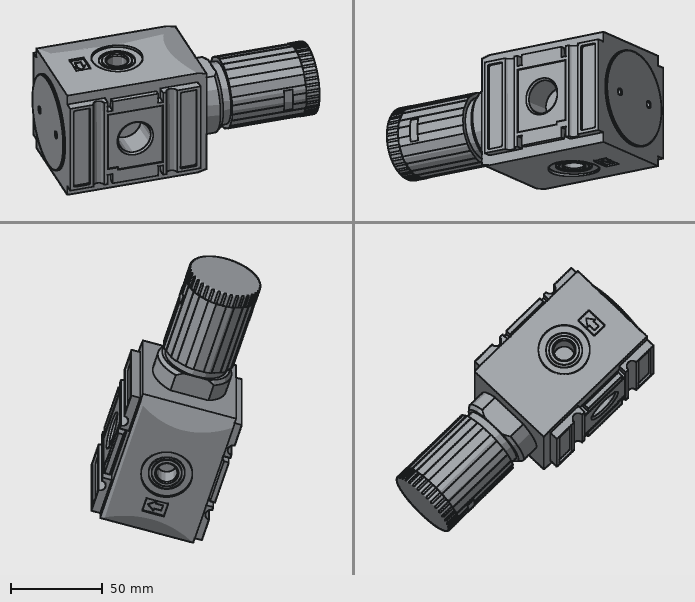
import cadquery as cq
import math


body_width = 53.1
body_height = 63
body_length = 75
crown_height = 2.1
slope_run = 8.5
rear_plate_length = 5.1
front_y = -body_length / 2
seam_y = body_length / 2
rear_y = seam_y + rear_plate_length
half_width = body_width / 2
half_height = body_height / 2
crest = half_height + crown_height
slope = crown_height / slope_run

overall_width = 63
flange_height = 51.9
groove_radius = 3
groove_y = 21
notch_outer_y = 15.9
notch_inner_y = 13.0
notch_height = 5.8
rail_thickness_tip = 2.8
rail_thickness_root = 4.4
label_height = 48.3
label_inner_y = 26.0
label_outer_y = 35.4
label_depth = 1.5
label_corner = 1.0

port_diameter = 18.6
port_mouth_diameter = 20.7
port_mouth_depth = 1.2
port_depth = 18
seat_half_width = 15.9
seat_half_height = 18
seat_depth = 0.3
seat_taper = 45
key_width = 5.7
key_height = 1.5

spotface_diameter = 28.0
spotface_depth = 1.6
seal_outer_diameter = 19.8
seal_inner_diameter = 16.5
seal_depth = 0.9
gauge_diameter = 11.4
gauge_mouth_diameter = 12.9
gauge_depth = 12

panel_width = 12.3
panel_length = 8.2
panel_y = -21.3
panel_depth = 1.2
arrow_tail_x = -3.9
arrow_neck_x = 0.2
arrow_tip_x = 4.2
arrow_shaft_half = 1.6
arrow_head_half = 3.0
arrow_depth = 0.5

cap_neck_diameter = 43.8
cap_neck_length = 1.2
cap_disc_diameter = 53.5
cap_disc_thickness = 1.2
cap_edge_chamfer = 0.5
spanner_hole_diameter = 3.2
spanner_hole_offset = 14.0
spanner_hole_depth = 2.2
spanner_hole_chamfer = 0.5
cap_inner_y = front_y - cap_neck_length
cap_outer_y = cap_inner_y - cap_disc_thickness

bonnet_diameter = 42
bonnet_length = 12.2
bonnet_chamfer_length = 2.2
bonnet_chamfer_depth = 1.8
wrench_size = 36
neck_diameter = 35.0
neck_length = 5.0
bonnet_end_y = rear_y + bonnet_length
knob_start_y = bonnet_end_y + neck_length

overall_length = 150
knob_low_radius = 19.8
knob_high_radius = 20.1
knob_rim_radius = 20.2
rim_length = 7.8
rim_fillet = 0.9
rib_count = 12
rib_angle = 13.4
scallop_count = 36
scallop_radius = 0.8
tab_start_y = 89.5
tab_length = 5.0
tab_height = 12.5
knob_end_y = cap_outer_y + overall_length
rim_start_y = knob_end_y - rim_length
scallop_center_radius = knob_low_radius + scallop_radius


def cylinder(diameter, start, length, direction):
    """Round bar that runs from a point along a direction."""
    return cq.Workplane(cq.Solid.makeCylinder(diameter / 2, length, cq.Vector(*start), cq.Vector(*direction)))


def cone(start_diameter, end_diameter, start, length, direction):
    """Tapered round bar that runs from a point along a direction."""
    solid = cq.Solid.makeCone(
        start_diameter / 2, end_diameter / 2, length, cq.Vector(*start), cq.Vector(*direction)
    )
    return cq.Workplane(solid)


def box(x_range, y_range, z_range):
    """Rectangular block between pairs of coordinates."""
    size = [high - low for low, high in (x_range, y_range, z_range)]
    corner = (x_range[0], y_range[0], z_range[0])
    return cq.Workplane("XY").box(*size, centered=False).translate(corner)


def both_sides(shape, plane):
    """A shape together with its mirror image."""
    return [shape, shape.mirror(plane)]


def crowned_bar(start_y, end_y):
    """Bar along Y with arched top and bottom faces."""
    return (
        cq.Workplane("XZ", origin=(0, start_y, 0))
        .moveTo(-half_width, -half_height)
        .threePointArc((0, -crest), (half_width, -half_height))
        .lineTo(half_width, half_height)
        .threePointArc((0, crest), (-half_width, half_height))
        .close()
        .extrude(start_y - end_y)
    )


def slope_envelope():
    """Side outline whose sloped ends trim the crowned block."""
    rear_half_height = half_height - slope * rear_plate_length
    upper = [
        (front_y, half_height),
        (front_y + slope_run, crest),
        (seam_y - slope_run, crest),
        (rear_y, rear_half_height),
    ]
    lower = [(y, -z) for y, z in reversed(upper)]
    return cq.Workplane("YZ").polyline(upper + lower).close().extrude(half_width, both=True)


def clamp_slots():
    """Cutters for the end notches and the bevelled slots behind the clamp rail of the -X flange."""
    outer_x = -overall_width / 2
    top = flange_height / 2
    floor = top - notch_height
    slot = (
        cq.Workplane("XZ", origin=(0, -notch_inner_y, 0))
        .polyline([
            (outer_x + rail_thickness_tip, top),
            (outer_x + rail_thickness_root, floor),
            (-half_width, floor),
            (-half_width, top),
        ])
        .close()
        .extrude(-2 * notch_inner_y)
    )
    notch = box((outer_x, -half_width), (notch_inner_y, notch_outer_y), (floor, top))
    upper = slot.union(notch).union(notch.mirror("XZ"))
    return both_sides(upper, "XY")


def label_pocket():
    """Cutter for the rounded label recess on the +Y half of the -X flange."""
    return (
        cq.Workplane("YZ", origin=(-overall_width / 2, 0, 0))
        .center((label_inner_y + label_outer_y) / 2, 0)
        .rect(label_outer_y - label_inner_y, label_height)
        .extrude(label_depth)
        .edges("|X")
        .fillet(label_corner)
    )


def flange():
    """Side flange on -X with clamp grooves, notches and label recesses."""
    outer_x = -overall_width / 2
    top = flange_height / 2
    plate = box((outer_x, -half_width), (front_y, seam_y), (-top, top))
    groove = cylinder(2 * groove_radius, (outer_x, groove_y, -top), flange_height, (0, 0, 1))
    cutters = both_sides(groove, "XZ") + both_sides(label_pocket(), "XZ") + clamp_slots()
    for cutter in cutters:
        plate = plate.cut(cutter)
    return plate


def side_port():
    """Cutters for the -X port: keyed seat, mouth chamfer and bore."""
    face = (-overall_width / 2, 0, 0)
    inward = (1, 0, 0)
    seat = (
        cq.Workplane("YZ", origin=face)
        .polyline([
            (seat_half_width, seat_half_height),
            (seat_half_width, -seat_half_height),
            (key_width - seat_half_width, -seat_half_height),
            (key_width - seat_half_width, key_height - seat_half_height),
            (-seat_half_width, key_height - seat_half_height),
            (-seat_half_width, seat_half_height),
        ])
        .close()
        .extrude(seat_depth, taper=seat_taper)
    )
    seat_floor = (face[0] + seat_depth, 0, 0)
    mouth = cone(port_mouth_diameter, port_diameter, seat_floor, port_mouth_depth, inward)
    bore = cylinder(port_diameter, face, port_depth, inward)
    return [seat, mouth, bore]


def gauge_port():
    """Cutters for the top gauge port: spotface, seal groove, mouth chamfer and bore."""
    floor = (0, 0, crest - spotface_depth)
    down = (0, 0, -1)
    mouth_depth = (gauge_mouth_diameter - gauge_diameter) / 2
    spotface = cylinder(spotface_diameter, (0, 0, crest), spotface_depth, down)
    seal_core = cylinder(seal_inner_diameter, floor, seal_depth, down)
    seal = cylinder(seal_outer_diameter, floor, seal_depth, down).cut(seal_core)
    mouth = cone(gauge_mouth_diameter, gauge_diameter, floor, mouth_depth, down)
    bore = cylinder(gauge_diameter, floor, gauge_depth, down)
    return [spotface, seal, mouth, bore]


def arrow_panel():
    """Cutter for the top arrow panel, with the arrow sunk into the panel floor."""
    floor = crest - panel_depth
    panel = (
        cq.Workplane("XY", origin=(0, panel_y, floor))
        .rect(panel_width, panel_length)
        .extrude(panel_depth)
    )
    arrow = (
        cq.Workplane("XY", origin=(0, panel_y, floor))
        .polyline([
            (arrow_tail_x, arrow_shaft_half),
            (arrow_neck_x, arrow_shaft_half),
            (arrow_neck_x, arrow_head_half),
            (arrow_tip_x, 0),
            (arrow_neck_x, -arrow_head_half),
            (arrow_neck_x, -arrow_shaft_half),
            (arrow_tail_x, -arrow_shaft_half),
        ])
        .close()
        .extrude(-arrow_depth)
    )
    return panel.union(arrow)


def end_cap():
    """Round cap on the front face with two spanner holes."""
    forward = (0, -1, 0)
    neck = cylinder(cap_neck_diameter, (0, front_y, 0), cap_neck_length, forward)
    disc = cylinder(cap_disc_diameter, (0, cap_inner_y, 0), cap_disc_thickness, forward)
    cap = neck.union(disc.faces("<Y").edges().chamfer(cap_edge_chamfer))
    mouth_diameter = spanner_hole_diameter + 2 * spanner_hole_chamfer
    for x in (-spanner_hole_offset, spanner_hole_offset):
        start = (x, cap_outer_y, 0)
        cap = cap.cut(cylinder(spanner_hole_diameter, start, spanner_hole_depth, (0, 1, 0)))
        cap = cap.cut(cone(mouth_diameter, spanner_hole_diameter, start, spanner_hole_chamfer, (0, 1, 0)))
    return cap


def bonnet():
    """Chamfered bonnet with two wrench flats, and the neck behind it."""
    backward = (0, 1, 0)
    straight_length = bonnet_length - bonnet_chamfer_length
    end_diameter = bonnet_diameter - 2 * bonnet_chamfer_depth
    chamfer_start = (0, rear_y + straight_length, 0)
    barrel = cylinder(bonnet_diameter, (0, rear_y, 0), straight_length, backward)
    barrel = barrel.union(cone(bonnet_diameter, end_diameter, chamfer_start, bonnet_chamfer_length, backward))
    half_wrench = wrench_size / 2
    across_flats = box(
        (-bonnet_diameter, bonnet_diameter), (rear_y, bonnet_end_y), (-half_wrench, half_wrench)
    )
    neck = cylinder(neck_diameter, (0, bonnet_end_y, 0), neck_length, backward)
    return barrel.intersect(across_flats).union(neck)


def make_housing():
    """Housing with flanges, ports, end cap, bonnet and neck; flush faces keep their seams."""
    envelope = slope_envelope()
    housing = crowned_bar(front_y, seam_y).intersect(envelope)
    rear_plate = crowned_bar(seam_y, rear_y).intersect(envelope)
    for piece in [rear_plate, end_cap(), bonnet()] + both_sides(flange(), "YZ"):
        housing = housing.union(piece, clean=False)
    for cutter in side_port():
        for copy in both_sides(cutter, "YZ"):
            housing = housing.cut(copy, clean=False)
    for cutter in gauge_port() + [arrow_panel()]:
        for copy in both_sides(cutter, "XY"):
            housing = housing.cut(copy, clean=False)
    return housing


def polar(radius, degrees):
    """Point on a circle around the origin."""
    angle = math.radians(degrees)
    return (radius * math.cos(angle), radius * math.sin(angle))


def knob_grip():
    """Grip with low and raised bands alternating around it."""
    pitch = 360 / rib_count
    half_rib = rib_angle / 2
    half_low = pitch / 2 - half_rib
    outline = cq.Workplane("XZ", origin=(0, knob_start_y, 0)).moveTo(*polar(knob_low_radius, -half_low))
    for index in range(rib_count):
        low_center = index * pitch
        low_end = low_center + half_low
        rib_center = low_center + pitch / 2
        rib_end = rib_center + half_rib
        outline = (
            outline
            .threePointArc(polar(knob_low_radius, low_center), polar(knob_low_radius, low_end))
            .lineTo(*polar(knob_high_radius, rib_center - half_rib))
            .threePointArc(polar(knob_high_radius, rib_center), polar(knob_high_radius, rib_end))
            .lineTo(*polar(knob_low_radius, rib_end))
        )
    return outline.close().extrude(knob_start_y - rim_start_y)


def knob_rim():
    """Scalloped rim with a rounded end edge."""
    rim = cylinder(2 * knob_rim_radius, (0, rim_start_y, 0), rim_length, (0, 1, 0))
    rim = rim.faces(">Y").edges().fillet(rim_fillet)
    scallops = (
        cq.Workplane("XZ", origin=(0, rim_start_y, 0))
        .polarArray(scallop_center_radius, 0, 360, scallop_count)
        .circle(scallop_radius)
        .extrude(-rim_length)
    )
    return rim.cut(scallops)


def knob_tabs():
    """Curved marker tabs on the two X sides of the grip."""
    tab_end_y = tab_start_y + tab_length
    ring = cylinder(2 * knob_rim_radius, (0, tab_start_y, 0), tab_length, (0, 1, 0))
    half_tab = tab_height / 2
    band = box((-knob_rim_radius, knob_rim_radius), (tab_start_y, tab_end_y), (-half_tab, half_tab))
    return ring.intersect(band)


def make_knob():
    """Adjusting knob that sits on the end of the neck."""
    return knob_grip().union(knob_rim()).union(knob_tabs())


housing = make_housing()
knob = make_knob()
result = cq.Compound.makeCompound([*housing.solids().vals(), *knob.solids().vals()])